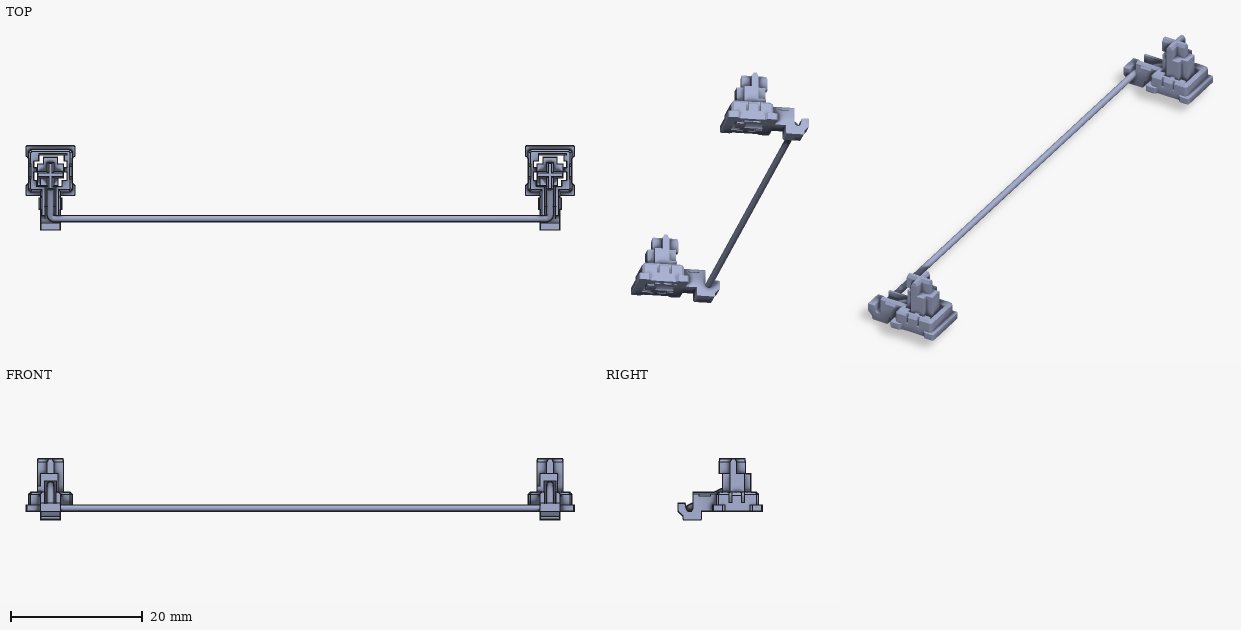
import cadquery as cq
import math

OVERALL_LENGTH = 83.3
FLANGE_HALF = 3.75
SIDE_OFFSET = OVERALL_LENGTH / 2 - FLANGE_HALF

TOP_Z = 4.7
BASE_Z = -3.3
FLANGE_TOP_Z = -2.3
BODY_TOP_Z = -0.4
FOOT_BOTTOM_Z = -4.7

WIRE_D = 1.0
WIRE_R = WIRE_D / 2
WIRE_Y = -4.7
WIRE_Z = BASE_Z + WIRE_R
BEND_R = 0.7
ARM_ANGLE = math.radians(26.5)
ARM_LENGTH = 8.0

FLANGE_BACK_Y = 6.4
FLANGE_FRONT_Y = -1.2
WAIST_HALF = 3.3
WAIST_BACK_Y = 4.5
WAIST_FRONT_Y = 0.75
FLANGE_CORNER = 0.2

BODY_HALF = WAIST_HALF
BODY_BACK_Y = 5.8
BODY_FRONT_Y = -0.6
BODY_CHAMFER = 0.3
OPENING_HALF = 2.5
OPENING_BACK_Y = 5.0
OPENING_FRONT_Y = 0.25
WIDE_POST_X = 1.75
NARROW_POST_X = 2.1
POST_LENGTH = 0.9
GUIDE_Y = (2.4, 3.1)
LEDGE_DEPTH = 0.25
LEDGE_Z = -0.9

NOTCH_Y = (1.3, 3.7)
NOTCH_FLOOR_X = 2.9
NOTCH_BOTTOM_Z = -2.0
CATCH_Y = (1.75, 3.25)
CATCH_SLOPE_Z = -0.9

CHANNEL_FRONT_Y = WIRE_Y + WIRE_R
CHANNEL_HALF = 1.5
CHANNEL_CHAMFER = 0.25
CHANNEL_SLOT_HALF = 0.8
CHANNEL_FLOOR_Z = -3.0
EAR_HALF = 1.75
EAR_Y = (-3.25, -1.5)
EAR_BOTTOM_Z = -1.0

FOOT_BACK_Y = -2.8
FOOT_FRONT_Y = -5.7
FOOT_CHAMFER = 0.2
LIP_FRONT_Y = -6.4
LIP_TOP_Z = -2.1
LIP_TOP_BACK_Y = -5.3
LIP_SLOPE_END_Z = -4.1

CROSS_HALF = 2.0
CROSS_Y = 1.8
SIDE_BAR_Y = 2.0
CROSS_THICKNESS = 1.0
TIP_HEIGHT = 0.5
TIP_END_INSET = 0.1
TIP_SIDE_INSET = 0.25
PLATFORM_Z = 2.4
STEM_HALF = CROSS_HALF
STEM_Y = (SIDE_BAR_Y - CROSS_THICKNESS / 2, 3.7)
STEM_FRONT_Y = 0.3
STEM_FRONT_X = (-1.5, 1.2)
STEM_BACK_Y = 4.7
STEM_BACK_HALF = 1.1
LUG_TOP_Z = 0.5
CAVITY_HALF = 0.9
CAVITY_BACK_Y = 3.2
CAVITY_TOP_Z = 1.25


def block(x, y, z):
    """A box from (low, high) pairs along X, Y and Z."""
    size = [high - low for low, high in (x, y, z)]
    return cq.Workplane("XY").box(*size, centered=False).translate((x[0], y[0], z[0]))


def tapered_block(base_half, top_half, y, z):
    """A block symmetric about X = 0 whose half width changes from its base to its top."""
    outline = [(-base_half, z[0]), (base_half, z[0]), (top_half, z[1]), (-top_half, z[1])]
    return cq.Workplane("XZ", origin=(0, y[1], 0)).polyline(outline).close().extrude(y[1] - y[0])


def make_flange():
    """Base plate with a narrower waist between its front and back ends."""
    step = FLANGE_HALF - WAIST_HALF
    right_side = [
        (FLANGE_HALF, FLANGE_FRONT_Y),
        (FLANGE_HALF, WAIST_FRONT_Y - step),
        (WAIST_HALF, WAIST_FRONT_Y),
        (WAIST_HALF, WAIST_BACK_Y),
        (FLANGE_HALF, WAIST_BACK_Y + step),
        (FLANGE_HALF, FLANGE_BACK_Y),
    ]
    left_side = [(-x, y) for x, y in reversed(right_side)]
    plate = cq.Workplane("XY", origin=(0, 0, BASE_Z)).polyline(right_side + left_side).close()
    plate = plate.extrude(FLANGE_TOP_Z - BASE_Z)
    for y in (FLANGE_FRONT_Y, FLANGE_BACK_Y):
        low = (-FLANGE_HALF - step, y - step, BASE_Z)
        high = (FLANGE_HALF + step, y + step, FLANGE_TOP_Z)
        end_corners = cq.selectors.BoxSelector(low, high)
        plate = plate.edges("|Z").edges(end_corners).chamfer(FLANGE_CORNER)
    return plate


def make_body():
    """Raised frame with chamfered corners and rim, and a sloping catch in each side."""
    body_x = (-BODY_HALF, BODY_HALF)
    body = block(body_x, (BODY_FRONT_Y, BODY_BACK_Y), (BASE_Z, BODY_TOP_Z))
    body = body.edges("|Z").chamfer(BODY_CHAMFER)
    body = body.faces(">Z").edges().chamfer(BODY_CHAMFER)
    for x in ((-BODY_HALF, -NOTCH_FLOOR_X), (NOTCH_FLOOR_X, BODY_HALF)):
        body = body.cut(block(x, NOTCH_Y, (NOTCH_BOTTOM_Z, BODY_TOP_Z)))
    catch = block(body_x, CATCH_Y, (NOTCH_BOTTOM_Z, CATCH_SLOPE_Z))
    slope = tapered_block(BODY_HALF, NOTCH_FLOOR_X, CATCH_Y, (CATCH_SLOPE_Z, BODY_TOP_Z))
    return body.union(catch).union(slope)


def make_opening():
    """Well for the stem, narrowed by corner posts and side guides, with a ledge at the back."""
    height = (BASE_Z, BODY_TOP_Z)
    well_y = (OPENING_FRONT_Y, OPENING_BACK_Y)
    well = block((-OPENING_HALF, OPENING_HALF), well_y, height)
    front_post_y = (OPENING_FRONT_Y, OPENING_FRONT_Y + POST_LENGTH)
    back_post_y = (OPENING_BACK_Y - POST_LENGTH, OPENING_BACK_Y)
    left_narrow = (-OPENING_HALF, -NARROW_POST_X)
    right_narrow = (NARROW_POST_X, OPENING_HALF)
    obstacles = [
        ((-OPENING_HALF, -WIDE_POST_X), back_post_y),
        ((WIDE_POST_X, OPENING_HALF), front_post_y),
        (left_narrow, front_post_y),
        (right_narrow, back_post_y),
        (left_narrow, GUIDE_Y),
        (right_narrow, GUIDE_Y),
    ]
    for x, y in obstacles:
        well = well.cut(block(x, y, height))
    ledge_y = (OPENING_BACK_Y, OPENING_BACK_Y + LEDGE_DEPTH)
    return well.union(block((-WIDE_POST_X, OPENING_HALF), ledge_y, (LEDGE_Z, BODY_TOP_Z)))


def make_channel():
    """Front arm with chamfered top edges and a small sloping ear on each side."""
    channel_x = (-CHANNEL_HALF, CHANNEL_HALF)
    channel = block(channel_x, (CHANNEL_FRONT_Y, OPENING_FRONT_Y), (BASE_Z, BODY_TOP_Z))
    channel = channel.faces(">Z").edges("|Y").chamfer(CHANNEL_CHAMFER)
    ear_top_half = CHANNEL_HALF - CHANNEL_CHAMFER
    return channel.union(tapered_block(EAR_HALF, ear_top_half, EAR_Y, (EAR_BOTTOM_Z, BODY_TOP_Z)))


def make_foot():
    """Hook below the channel, with a round-bottomed groove for the wire."""
    return (
        cq.Workplane("YZ", origin=(-CHANNEL_HALF, 0, 0))
        .moveTo(FOOT_BACK_Y, BASE_Z)
        .lineTo(FOOT_BACK_Y, FOOT_BOTTOM_Z + FOOT_CHAMFER)
        .lineTo(FOOT_BACK_Y - FOOT_CHAMFER, FOOT_BOTTOM_Z)
        .lineTo(FOOT_FRONT_Y + FOOT_CHAMFER, FOOT_BOTTOM_Z)
        .lineTo(FOOT_FRONT_Y, FOOT_BOTTOM_Z + FOOT_CHAMFER)
        .lineTo(FOOT_FRONT_Y, LIP_SLOPE_END_Z)
        .lineTo(LIP_FRONT_Y, BASE_Z)
        .lineTo(LIP_FRONT_Y, LIP_TOP_Z)
        .lineTo(LIP_TOP_BACK_Y, LIP_TOP_Z)
        .lineTo(WIRE_Y - WIRE_R, WIRE_Z)
        .threePointArc((WIRE_Y, BASE_Z), (CHANNEL_FRONT_Y, WIRE_Z))
        .lineTo(CHANNEL_FRONT_Y + WIRE_R, WIRE_Z)
        .lineTo(CHANNEL_FRONT_Y + WIRE_R, BASE_Z)
        .close()
        .extrude(2 * CHANNEL_HALF)
    )


def make_arm_slot():
    """Open-topped slot for the rising wire arm, deeper at the front where the arm is lowest."""
    slot_x = (-CHANNEL_SLOT_HALF, CHANNEL_SLOT_HALF)
    deep_part = block(slot_x, (WIRE_Y, FOOT_BACK_Y), (BASE_Z, BODY_TOP_Z))
    return deep_part.union(block(slot_x, (FOOT_BACK_Y, OPENING_FRONT_Y), (CHANNEL_FLOOR_Z, BODY_TOP_Z)))


def make_housing():
    frame = make_flange().union(make_body()).union(make_channel()).union(make_foot())
    return frame.cut(make_opening()).cut(make_arm_slot())


def make_cross_bar(center_y):
    """One bar of the cross, running along X, with a tapered tip."""
    tip_z = TOP_Z - TIP_HEIGHT
    length = 2 * CROSS_HALF
    half_thickness = CROSS_THICKNESS / 2
    bar_y = (center_y - half_thickness, center_y + half_thickness)
    bar = block((-CROSS_HALF, CROSS_HALF), bar_y, (PLATFORM_Z, tip_z))
    tip = (
        cq.Workplane("XY", origin=(0, center_y, tip_z))
        .rect(length, CROSS_THICKNESS)
        .workplane(offset=TIP_HEIGHT)
        .rect(length - 2 * TIP_END_INSET, CROSS_THICKNESS - 2 * TIP_SIDE_INSET)
        .loft(ruled=True)
    )
    return bar.union(tip)


def make_stem():
    """Stepped block with a cross on top and a cavity below for the wire arm."""
    height = (BASE_Z, PLATFORM_Z)
    front_y = (STEM_FRONT_Y, STEM_Y[0])
    back_y = (STEM_Y[1], STEM_BACK_Y)
    stem = block((-STEM_HALF, STEM_HALF), STEM_Y, height)
    stem = stem.union(block(STEM_FRONT_X, front_y, height))
    stem = stem.union(block((-STEM_BACK_HALF, STEM_BACK_HALF), back_y, height))
    stem = stem.union(block((-STEM_HALF, STEM_FRONT_X[0]), front_y, (BASE_Z, LUG_TOP_Z)))
    cavity_y = (STEM_FRONT_Y, CAVITY_BACK_Y)
    stem = stem.cut(block((-CAVITY_HALF, CAVITY_HALF), cavity_y, (BASE_Z, CAVITY_TOP_Z)))
    cross_axis = ((0, CROSS_Y, 0), (0, CROSS_Y, 1))
    long_bar = make_cross_bar(CROSS_Y).rotate(*cross_axis, 90)
    return stem.union(make_cross_bar(SIDE_BAR_Y)).union(long_bar)


def arm_point(x, distance):
    """The point at X, this far up the sloping plane of the wire's arms."""
    run = distance * math.cos(ARM_ANGLE)
    rise = distance * math.sin(ARM_ANGLE)
    return cq.Vector(x, WIRE_Y + run, WIRE_Z + rise)


def make_wire():
    """Long bar with a round bend at each end and two arms that rise into the stems."""
    bend_x = SIDE_OFFSET - BEND_R
    corner_shift = BEND_R * (1 - math.sqrt(0.5))
    middle_x = SIDE_OFFSET - corner_shift
    left_arm = cq.Edge.makeLine(arm_point(-SIDE_OFFSET, ARM_LENGTH), arm_point(-SIDE_OFFSET, BEND_R))
    left_bend = cq.Edge.makeThreePointArc(
        arm_point(-SIDE_OFFSET, BEND_R), arm_point(-middle_x, corner_shift), arm_point(-bend_x, 0)
    )
    bar = cq.Edge.makeLine(arm_point(-bend_x, 0), arm_point(bend_x, 0))
    right_bend = cq.Edge.makeThreePointArc(
        arm_point(bend_x, 0), arm_point(middle_x, corner_shift), arm_point(SIDE_OFFSET, BEND_R)
    )
    right_arm = cq.Edge.makeLine(arm_point(SIDE_OFFSET, BEND_R), arm_point(SIDE_OFFSET, ARM_LENGTH))
    path = cq.Wire.assembleEdges([left_arm, left_bend, bar, right_bend, right_arm])
    arm_end = arm_point(-SIDE_OFFSET, ARM_LENGTH)
    down_arm = arm_point(-SIDE_OFFSET, 0) - arm_end
    end_plane = cq.Plane(origin=arm_end, xDir=cq.Vector(1, 0, 0), normal=down_arm)
    return cq.Workplane(end_plane).circle(WIRE_R).sweep(path)


wire = make_wire()
housings = []
stems = []
for side in (-1, 1):
    place = (side * SIDE_OFFSET, 0, 0)
    housings.append(make_housing().translate(place).val())
    stems.append(make_stem().translate(place).val())

result = cq.Compound.makeCompound([wire.val(), *housings, *stems])